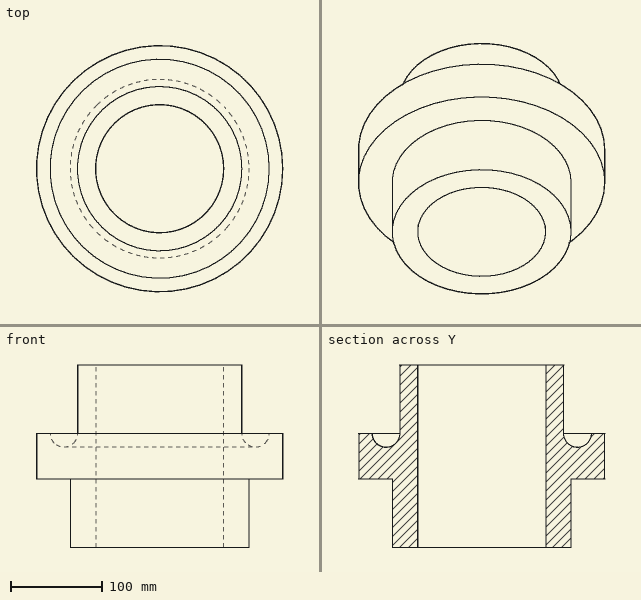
import cadquery as cq

flange_diameter = 270.0
total_height = 200.0
bore_diameter = 140.0

lower_diameter = 196.0
upper_diameter = 180.0
sleeve_height = 75.0

groove_outer_diameter = 240.0

flange_top = total_height - sleeve_height
flange_height = flange_top - sleeve_height
groove_radius = (groove_outer_diameter - upper_diameter) / 4
groove_center = (groove_outer_diameter + upper_diameter) / 4

lower_sleeve = cq.Workplane("XY").circle(lower_diameter / 2).extrude(sleeve_height)
flange = (
    cq.Workplane("XY")
    .workplane(offset=sleeve_height)
    .circle(flange_diameter / 2)
    .extrude(flange_height)
)

groove = (
    cq.Workplane("XZ")
    .moveTo(upper_diameter / 2, flange_top)
    .threePointArc(
        (groove_center, flange_top - groove_radius),
        (groove_outer_diameter / 2, flange_top),
    )
    .close()
    .revolve(360, (0, 0, 0), (0, 1, 0))
)

upper_sleeve = (
    cq.Workplane("XY")
    .workplane(offset=flange_top)
    .circle(upper_diameter / 2)
    .extrude(sleeve_height)
)

bore = cq.Workplane("XY").circle(bore_diameter / 2).extrude(total_height)

result = lower_sleeve.union(flange).cut(groove).union(upper_sleeve).cut(bore)